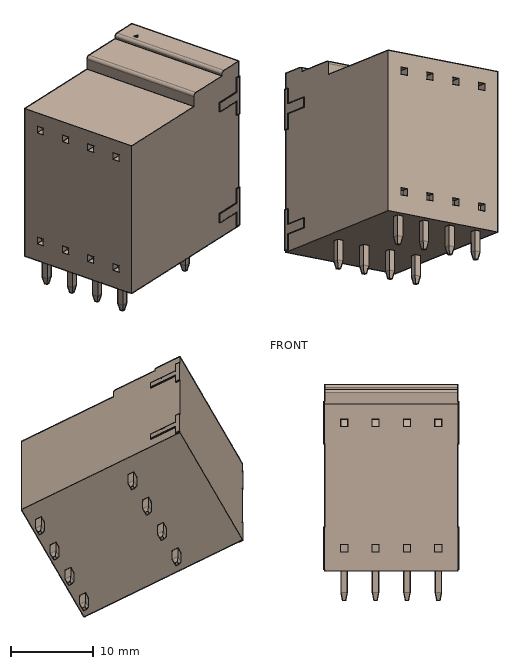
import cadquery as cq

PITCH = 3.81
POLES = 4
CONTACT_X = [(i - (POLES - 1) / 2) * PITCH for i in range(POLES)]
ROW_SPACING = 4 * PITCH

BODY_WIDTH = 16.17
BODY_DEPTH = 21.8
BODY_HEIGHT = 22.65
BACK_STEP_LENGTH = 3.45
BACK_STEP_HEIGHT = 0.6
MIDDLE_STEP_END = 9.15
MIDDLE_STEP_HEIGHT = 1.75
STEP_RADIUS = 0.4

LOWER_ROW_Z = 2.78
UPPER_ROW_Z = LOWER_ROW_Z + ROW_SPACING

OPENING_SIZE = 0.9

RIB_THICKNESS = 0.15
RIB_BAR_LENGTH = 5.15
RIB_BAR_WIDTH = 0.57
RIB_STEM_REACH = 4.0
RIB_STEM_WIDTH = 1.25

PIN_SIZE = 0.8
PIN_LENGTH = 3.55
PIN_TIP_LENGTH = 0.95
PIN_TIP_SIZE = 0.4
FRONT_PIN_Y = 1.3
PIN_ROW_SPACING = 12.7
BACK_PIN_Y = FRONT_PIN_Y + PIN_ROW_SPACING
PIN_BEND_RADIUS = 1.0

MARK_WIDTH = 0.5
MARK_HEIGHT = 0.5
MARK_DEPTH = 0.2
MARK_BASE_FROM_BACK = 2.45


def make_housing():
    """Block with two steps rising toward the back, rounded at their front edges."""
    front_top = BODY_HEIGHT - BACK_STEP_HEIGHT - MIDDLE_STEP_HEIGHT
    middle_top = front_top + MIDDLE_STEP_HEIGHT
    middle_front = BODY_DEPTH - MIDDLE_STEP_END
    back_front = BODY_DEPTH - BACK_STEP_LENGTH
    profile = (
        cq.Workplane("YZ")
        .moveTo(0, 0)
        .lineTo(0, front_top)
        .lineTo(middle_front, front_top)
        .lineTo(middle_front, middle_top - STEP_RADIUS)
        .radiusArc((middle_front + STEP_RADIUS, middle_top), STEP_RADIUS)
        .lineTo(back_front, middle_top)
        .lineTo(back_front, BODY_HEIGHT - STEP_RADIUS)
        .radiusArc((back_front + STEP_RADIUS, BODY_HEIGHT), STEP_RADIUS)
        .lineTo(BODY_DEPTH, BODY_HEIGHT)
        .lineTo(BODY_DEPTH, 0)
        .close()
    )
    return profile.extrude(BODY_WIDTH / 2, both=True)


def make_rib_pair(row_z):
    """T-shaped ribs at one row height, passing through the housing to stand out on both sides."""
    width = BODY_WIDTH + 2 * RIB_THICKNESS
    bar = cq.Workplane("XY").box(width, RIB_BAR_WIDTH, RIB_BAR_LENGTH)
    bar = bar.translate((0, BODY_DEPTH - RIB_BAR_WIDTH / 2, row_z))
    stem = cq.Workplane("XY").box(width, RIB_STEM_REACH, RIB_STEM_WIDTH)
    stem = stem.translate((0, BODY_DEPTH - RIB_STEM_REACH / 2, row_z))
    return bar.union(stem)


def make_opening(x, row_z, depth):
    """Square cutter for a test opening running back from the front face."""
    opening = cq.Workplane("XZ", origin=(x, 0, row_z)).rect(OPENING_SIZE, OPENING_SIZE)
    return opening.extrude(-depth)


def make_pin_bend(x):
    """Rounded outer corner of a back pin, seen at the inner end of an upper opening."""
    pin_front = BACK_PIN_Y - PIN_SIZE / 2
    bend_top = UPPER_ROW_Z + PIN_SIZE / 2
    bend_back = pin_front + PIN_BEND_RADIUS
    bend_bottom = bend_top - PIN_BEND_RADIUS
    profile = (
        cq.Workplane("YZ", origin=(x, 0, 0))
        .moveTo(pin_front, bend_bottom)
        .radiusArc((bend_back, bend_top), PIN_BEND_RADIUS)
        .lineTo(bend_back, bend_bottom)
        .close()
    )
    return profile.extrude(PIN_SIZE / 2, both=True)


def make_pin(x, y):
    """Square solder pin under the housing, tapered at its tip."""
    shaft_length = PIN_LENGTH - PIN_TIP_LENGTH
    shaft = cq.Workplane("XY", origin=(x, y, 0)).rect(PIN_SIZE, PIN_SIZE).extrude(-shaft_length)
    tip = (
        cq.Workplane("XY", origin=(x, y, -shaft_length))
        .rect(PIN_SIZE, PIN_SIZE)
        .workplane(offset=-PIN_TIP_LENGTH)
        .rect(PIN_TIP_SIZE, PIN_TIP_SIZE)
        .loft(ruled=True)
    )
    return shaft.union(tip)


def make_pole_mark():
    """Small triangular recess in the top face, above the first contact."""
    base_y = BODY_DEPTH - MARK_BASE_FROM_BACK
    return (
        cq.Workplane("XY", origin=(CONTACT_X[0], base_y, BODY_HEIGHT))
        .moveTo(-MARK_WIDTH / 2, 0)
        .lineTo(MARK_WIDTH / 2, 0)
        .lineTo(0, MARK_HEIGHT)
        .close()
        .extrude(-MARK_DEPTH)
    )


result = make_housing()
for rib_z in (LOWER_ROW_Z, UPPER_ROW_Z):
    result = result.union(make_rib_pair(rib_z))
lower_depth = FRONT_PIN_Y - PIN_SIZE / 2
upper_depth = BACK_PIN_Y - PIN_SIZE / 2 + PIN_BEND_RADIUS
for contact_x in CONTACT_X:
    result = result.cut(make_opening(contact_x, LOWER_ROW_Z, lower_depth))
    result = result.cut(make_opening(contact_x, UPPER_ROW_Z, upper_depth))
    result = result.union(make_pin_bend(contact_x))
    for pin_y in (FRONT_PIN_Y, BACK_PIN_Y):
        result = result.union(make_pin(contact_x, pin_y))
result = result.cut(make_pole_mark())